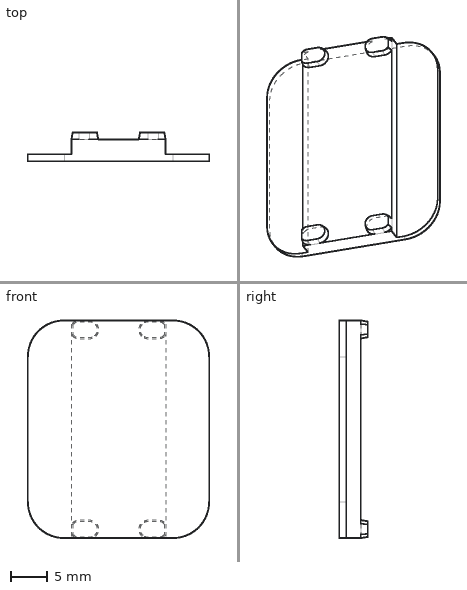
import cadquery as cq
import math

height = 30.0
width = 25.0
plate_thickness = 1.0
corner_radius = 5.0

block_width = 13.0
block_depth = 2.0

pad_height = 2.52
pad_length = 3.72
pad_depth = 1.0
pad_flat_end = 1.45
pad_taper = 10.0
pad_round = pad_height / 2
pad_flat_offset = math.sqrt(pad_round**2 - (pad_flat_end / 2) ** 2)


def back_plane(y):
    """XZ sketch plane at depth y, with its normal along +Y and local x along +X."""
    return cq.Workplane(cq.Plane(origin=(0, y, 0), xDir=(1, 0, 0), normal=(0, 1, 0)))


def make_plate():
    plate = cq.Workplane("XY").box(width, plate_thickness, height, centered=(True, False, True))
    return plate.edges("|Y").fillet(corner_radius)


def make_block():
    block = cq.Workplane("XY").box(block_width, block_depth, height, centered=(True, False, True))
    return block.translate((0, plate_thickness, 0))


def make_right_pad():
    """Upper pad at +X: round toward the middle, cut flat at the block side."""
    outer_x = block_width / 2
    outer_center = outer_x - pad_flat_offset
    inner_x = outer_x - pad_length
    inner_center = inner_x + pad_round
    half_flat = pad_flat_end / 2
    arc_angle = (math.pi / 2 + math.asin(half_flat / pad_round)) / 2
    arc_x = outer_center + pad_round * math.cos(arc_angle)
    arc_z = pad_round * math.sin(arc_angle)
    pad = (
        back_plane(plate_thickness + block_depth)
        .moveTo(outer_x, -half_flat)
        .lineTo(outer_x, half_flat)
        .threePointArc((arc_x, arc_z), (outer_center, pad_round))
        .lineTo(inner_center, pad_round)
        .threePointArc((inner_x, 0), (inner_center, -pad_round))
        .lineTo(outer_center, -pad_round)
        .threePointArc((arc_x, -arc_z), (outer_x, -half_flat))
        .close()
        .extrude(pad_depth, taper=pad_taper)
    )
    return pad.translate((0, 0, height / 2 - pad_round))


upper_right = make_right_pad()
upper_pads = upper_right.union(upper_right.mirror("YZ"))
pads = upper_pads.union(upper_pads.mirror("XY"))

result = make_plate().union(make_block()).union(pads)